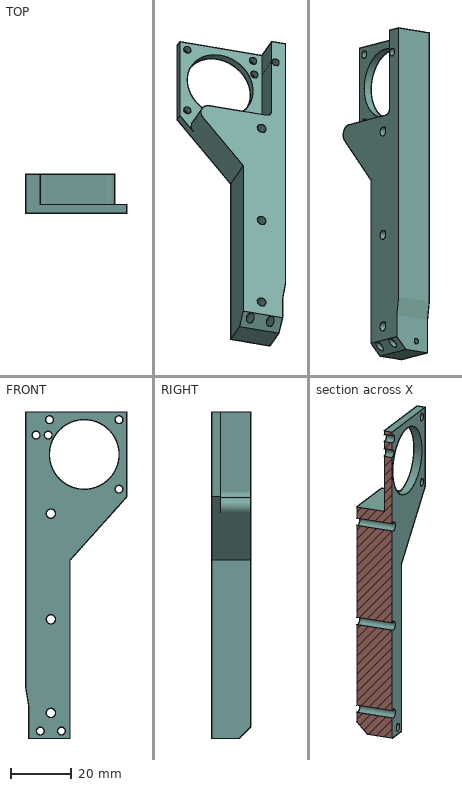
import cadquery as cq

width = 33.6
depth = 13.0
height = 108.2

stem_right = 14.8
slope_bottom = 59.1
slope_top = 80.1
foot_inset = 1.0
foot_top = 11.0
foot_taper_top = 17.1
foot_chamfer = 3.85

plate_thickness = 3.0
side_wall = 4.9
pocket_floor = 79.8
pocket_fillet = 2.0
ledge_round = 3.0
motor_x = 19.45
motor_z = 94.1
motor_bore = 23.0
motor_hole_spacing = 23.0

small_hole = 2.5
stem_hole = 3.0
stem_hole_x = 8.4
stem_hole_heights = (8.5, 39.5, 74.5)
foot_hole_x = 4.9
foot_hole_spacing = 7.0
foot_hole_z = 2.5
switch_hole_x = 3.5
switch_hole_spacing = 4.0
switch_hole_z = 100.5
side_hole = 1.75
side_hole_y = 4.7
side_hole_z = 3.4


def front_plane():
    """Sketch plane on the front face, with local Y along Z and its normal along -Y."""
    return cq.Workplane("XZ")


def blank():
    """Full-depth block with the bracket's front outline."""
    outline = [
        (foot_inset, 0),
        (stem_right, 0),
        (stem_right, slope_bottom),
        (width, slope_top),
        (width, height),
        (0, height),
        (0, foot_taper_top),
        (foot_inset, foot_top),
    ]
    return front_plane().polyline(outline).close().extrude(-depth)


def motor_pocket():
    """Space behind the mounting plate, with a filleted inner corner."""
    length = width - side_wall
    pocket = cq.Workplane("XY").box(
        length, depth - plate_thickness, height - pocket_floor, centered=False
    )
    pocket = pocket.edges("|Y and <X and <Z").fillet(pocket_fillet)
    return pocket.translate((side_wall, plate_thickness, pocket_floor))


def holes_through_front(diameter, centers):
    """Cylinders running the full depth along Y at the given X, Z centers."""
    return front_plane().pushPoints(centers).circle(diameter / 2).extrude(-depth)


def round_ledge_tip(body):
    """Round the tip where the pocket floor meets the sloping edge."""
    slope = (slope_top - slope_bottom) / (width - stem_right)
    tip_x = stem_right + (pocket_floor - slope_bottom) / slope
    tip_y = (plate_thickness + depth) / 2
    tip = cq.selectors.NearestToPointSelector((tip_x, tip_y, pocket_floor))
    return body.edges(tip).fillet(ledge_round)


def motor_hole_centers():
    """Three corners of the motor's square pattern; the lower left one is left out."""
    half = motor_hole_spacing / 2
    return [
        (motor_x - half, motor_z + half),
        (motor_x + half, motor_z + half),
        (motor_x + half, motor_z - half),
    ]


def side_bore():
    """Bore from the left face that ends in the left foot hole."""
    return (
        cq.Workplane("YZ")
        .center(side_hole_y, side_hole_z)
        .circle(side_hole / 2)
        .extrude(foot_hole_x)
    )


small_hole_centers = motor_hole_centers() + [
    (foot_hole_x, foot_hole_z),
    (foot_hole_x + foot_hole_spacing, foot_hole_z),
    (switch_hole_x, switch_hole_z),
    (switch_hole_x + switch_hole_spacing, switch_hole_z),
]
stem_hole_centers = [(stem_hole_x, z) for z in stem_hole_heights]

body = blank().edges("|X and >Y and <Z").chamfer(foot_chamfer)
body = round_ledge_tip(body.cut(motor_pocket()))
body = body.cut(holes_through_front(motor_bore, [(motor_x, motor_z)]))
body = body.cut(holes_through_front(small_hole, small_hole_centers))
body = body.cut(holes_through_front(stem_hole, stem_hole_centers))
result = body.cut(side_bore())